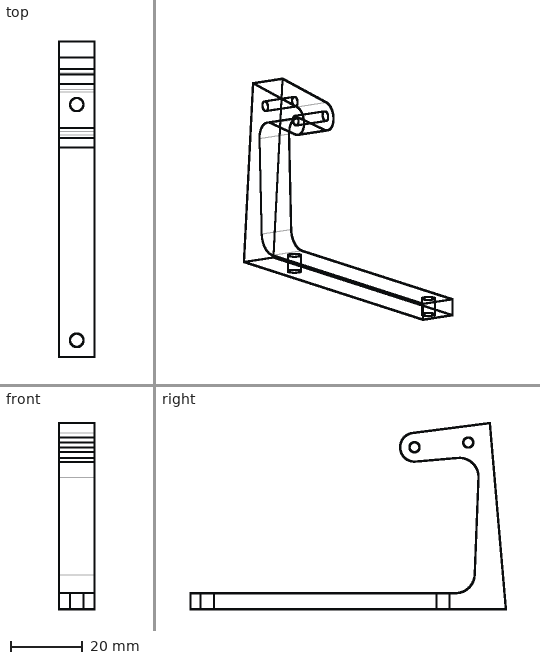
import cadquery as cq
import math

width = 10.0
length = 87.7
height = 51.8
base_thickness = 4.6

column_top_y = 83.2
column_inner_y_low = 78.7
column_inner_y_high = 80.2
inner_radius = 5.3

tip_y = 62.2
tip_z = 45.1
tip_radius = 4.0
underside_angle = math.radians(5.0)

pin_hole_diameter = 2.7
pin_spacing = 15.0
screw_hole_diameter = 3.7
screw_hole_inset = 4.65
screw_spacing = 65.5


def tip_point(angle):
    """Point on the rounded arm tip at an angle measured from +Y toward +Z."""
    return (tip_y + tip_radius * math.cos(angle), tip_z + tip_radius * math.sin(angle))


def make_profile():
    """Side outline in the YZ plane, extruded across the width."""
    corner_dy = column_top_y - tip_y
    corner_dz = height - tip_z
    corner_distance = math.hypot(corner_dy, corner_dz)
    top_angle = math.atan2(corner_dz, corner_dy) + math.acos(tip_radius / corner_distance)
    bottom_angle = underside_angle - math.pi / 2
    middle_angle = (top_angle + bottom_angle) / 2 + math.pi

    underside_start = tip_point(bottom_angle)
    underside_run = column_inner_y_high - underside_start[0]
    underside_end_z = underside_start[1] + underside_run * math.tan(underside_angle)

    body = (
        cq.Workplane("YZ")
        .moveTo(0, 0)
        .lineTo(length, 0)
        .lineTo(column_top_y, height)
        .lineTo(*tip_point(top_angle))
        .threePointArc(tip_point(middle_angle), underside_start)
        .lineTo(column_inner_y_high, underside_end_z)
        .lineTo(column_inner_y_low, base_thickness)
        .lineTo(0, base_thickness)
        .close()
        .extrude(width)
    )
    for y, z in [(column_inner_y_low, base_thickness), (column_inner_y_high, underside_end_z)]:
        corner = cq.selectors.NearestToPointSelector((width / 2, y, z))
        body = body.edges("|X").edges(corner).fillet(inner_radius)
    return body


def make_pin_holes():
    """Two cross holes in line with the arm's underside."""
    inner_pin = (
        tip_y + pin_spacing * math.cos(underside_angle),
        tip_z + pin_spacing * math.sin(underside_angle),
    )
    return (
        cq.Workplane("YZ")
        .pushPoints([(tip_y, tip_z), inner_pin])
        .circle(pin_hole_diameter / 2)
        .extrude(width)
    )


def make_screw_holes():
    """Two vertical holes through the base, on its centre line."""
    return (
        cq.Workplane("XY")
        .pushPoints([(width / 2, screw_hole_inset), (width / 2, screw_hole_inset + screw_spacing)])
        .circle(screw_hole_diameter / 2)
        .extrude(base_thickness)
    )


result = make_profile().cut(make_pin_holes()).cut(make_screw_holes())